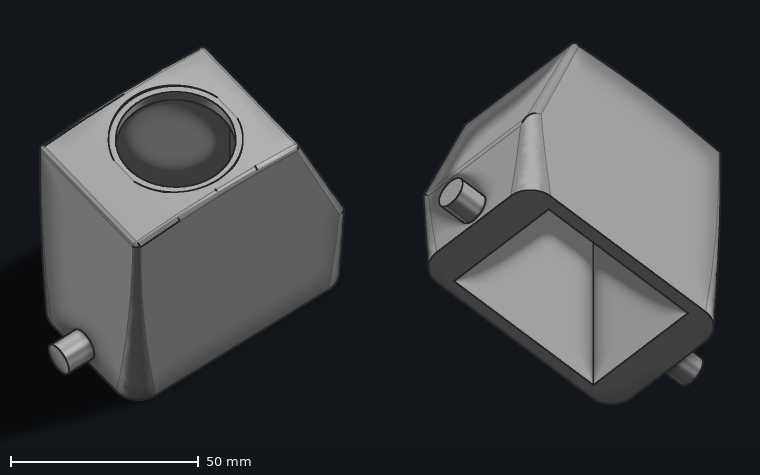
import cadquery as cq
import math

width = 43.0
height = 72.0
base_length = 73.1
end_draft = 0.9

corner_base = 7.6
corner_top = 1.6
corner_section_count = 5

bore_y = -5.8
crown_radius = 261.0
slope_top_y = 19.6
slope_bottom_z = 27.45
edge_radius = 1.4
slope_corner = 2.4
knee_radius = 7.2

wall = 3.6
roof_thickness = 4.0
cavity_length = 52.2

bore_diameter = 31.95
spotface_diameter = 35.8
spotface_depth = 0.58

peg_span = 90.0
peg_diameter = 9.0
peg_z = 6.2


def end_y(z):
    """Half length of the hood at height z."""
    return base_length / 2 - end_draft * z / height


def crown_z(y):
    """Height of the crowned roof at position y."""
    return height - crown_radius + math.sqrt(crown_radius**2 - (y - bore_y) ** 2)


def corner_radius(z):
    """Radius of the vertical corners at height z."""
    return corner_top + (corner_base - corner_top) * (1 - z / height) ** 2


def side_prism(side_inset, roof_inset):
    """Hood outline seen from the side, extruded across the width and moved inwards."""
    run = end_y(slope_bottom_z) - slope_top_y
    rise = crown_z(slope_top_y) - slope_bottom_z
    slope_length = math.hypot(run, rise)

    slope_shift = side_inset * slope_length / rise
    knee_z = slope_bottom_z - (slope_shift - side_inset) * rise / run
    roof_back_y = slope_top_y - slope_shift + roof_inset * run / rise
    front_y = end_y(height) - side_inset

    return (
        cq.Workplane("YZ")
        .moveTo(side_inset - end_y(0), 0)
        .lineTo(end_y(0) - side_inset, 0)
        .lineTo(end_y(knee_z) - side_inset, knee_z)
        .lineTo(roof_back_y, crown_z(roof_back_y) - roof_inset)
        .threePointArc((bore_y, height - roof_inset), (-front_y, crown_z(-front_y) - roof_inset))
        .close()
        .extrude(width / 2 - side_inset, both=True)
    )


def corner_section(plane, radius):
    """Waste outside one rounded corner; the sharp corner is the plane's origin."""
    arc_offset = radius * (1 - math.sqrt(0.5))
    section = (
        cq.Workplane(plane)
        .moveTo(0, -radius)
        .threePointArc((-arc_offset, -arc_offset), (-radius, 0))
        .lineTo(-radius, corner_base)
        .lineTo(corner_base, corner_base)
        .lineTo(corner_base, -radius)
        .close()
    )
    return section.val()


def make_corner_waste():
    """Waste of one vertical corner, lofted so that its radius shrinks upwards."""
    sections = []
    for i in range(corner_section_count):
        z = height * i / (corner_section_count - 1)
        plane = cq.Plane(origin=(width / 2, end_y(z), z))
        sections.append(corner_section(plane, corner_radius(z)))
    return cq.Workplane(cq.Solid.makeLoft(sections))


def make_slope_waste():
    """Waste along one side edge of the sloped back, its radius shrinking upwards."""
    start = cq.Vector(width / 2, end_y(slope_bottom_z), slope_bottom_z)
    finish = cq.Vector(width / 2, slope_top_y, crown_z(slope_top_y))
    sections = [
        corner_section(cq.Plane(origin=point, xDir=(1, 0, 0), normal=finish - start), radius)
        for point, radius in ((start, slope_corner), (finish, corner_top))
    ]
    return cq.Workplane(cq.Solid.makeLoft(sections))


def make_shell():
    """Hollow hood, open at the base, with every outer edge rounded."""
    hood = side_prism(0, 0)
    knee = cq.selectors.NearestToPointSelector((0, end_y(slope_bottom_z), slope_bottom_z))
    hood = hood.edges(knee).fillet(knee_radius)

    knee_blend = hood.faces("%CYLINDER").faces("<Z")
    smooth_edges = knee_blend.edges("|X").vals()
    sharp_edges = [edge for edge in hood.edges("not <Z").vals() if edge not in smooth_edges]
    hood = hood.newObject(sharp_edges).fillet(edge_radius)

    corner_waste = make_corner_waste()
    slope_waste = make_slope_waste()
    for piece in (corner_waste, corner_waste.mirror("XZ"), slope_waste):
        hood = hood.cut(piece).cut(piece.mirror("YZ"))

    cavity_bounds = cq.Workplane("XY").box(width, cavity_length, 2 * height)
    return hood.cut(side_prism(wall, roof_thickness).intersect(cavity_bounds))


def cut_cable_entry(body):
    """Round opening through the roof, with a flat spotface on the crown."""
    bore = cq.Workplane("XY", origin=(0, bore_y, height / 2)).circle(bore_diameter / 2).extrude(height)
    spotface = (
        cq.Workplane("XY", origin=(0, bore_y, height - spotface_depth))
        .circle(spotface_diameter / 2)
        .extrude(height)
    )
    return body.cut(bore).cut(spotface)


def add_pegs(body):
    """Add one peg standing out from each end wall."""
    peg_start = base_length / 2 - wall / 2
    for direction in (-1, 1):
        peg = cq.Solid.makeCylinder(
            peg_diameter / 2,
            peg_span / 2 - peg_start,
            cq.Vector(0, direction * peg_start, peg_z),
            cq.Vector(0, direction, 0),
        )
        body = body.union(cq.Workplane(peg))
    return body


result = add_pegs(cut_cable_entry(make_shell()))